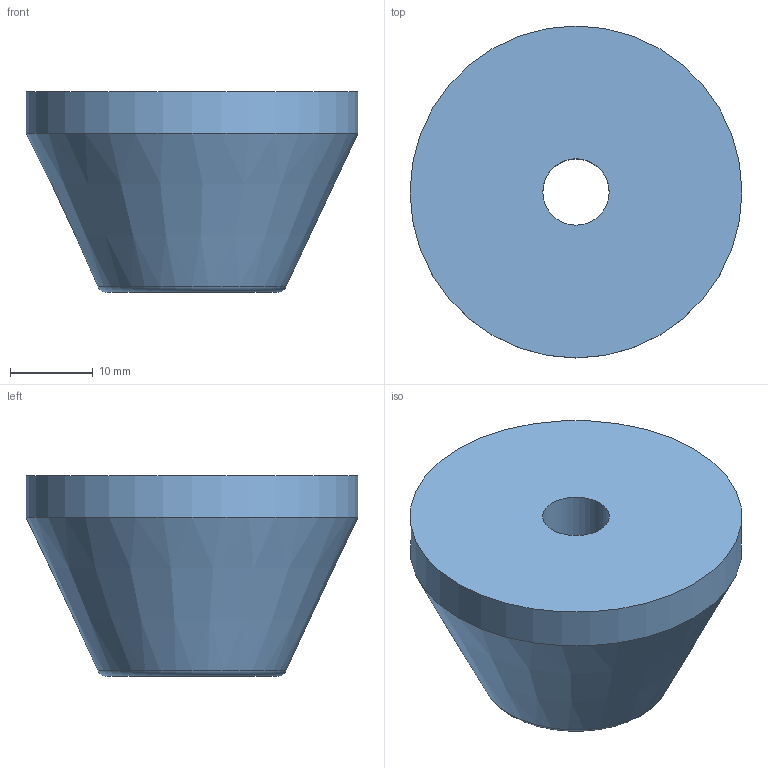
import cadquery as cq

rim_diameter = 40.0
rim_height = 5.0
total_height = 24.21
foot_diameter = 22.0
foot_fillet = 1.2
bore_diameter = 8.0

cone_height = total_height - rim_height
rim_radius = rim_diameter / 2
foot_radius = foot_diameter / 2


def tapered_body():
    """Solid of revolution about Z: a cone widening upward into a cylindrical rim."""
    outline = (
        cq.Workplane("XZ")
        .moveTo(0, 0)
        .lineTo(foot_radius, 0)
        .lineTo(rim_radius, cone_height)
        .lineTo(rim_radius, total_height)
        .lineTo(0, total_height)
        .close()
    )
    body = outline.revolve(360, (0, 0, 0), (0, 1, 0))
    return body.faces("<Z").edges().fillet(foot_fillet)


def through_bore():
    """Cylinder along the axis that passes through the whole body."""
    return cq.Workplane("XY").circle(bore_diameter / 2).extrude(total_height)


result = tapered_body().cut(through_bore())